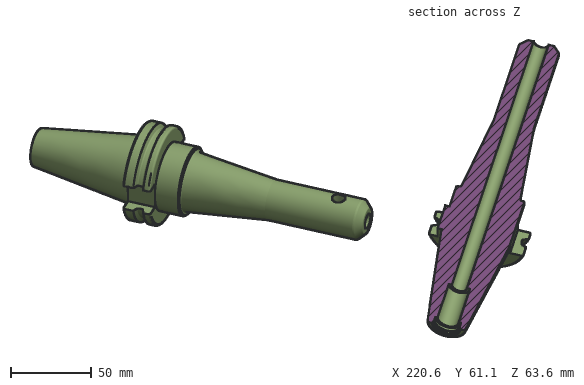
import cadquery as cq
import math

total_length = 220.6

gauge_diameter = 44.4
gauge_x = 68.0
taper_ratio = 7 / 24
taper_end_radius = (gauge_diameter - taper_ratio * gauge_x) / 2
taper_end_round = 2.0

flange_start = 69.3
flange_end = 87.4
flange_radius = 31.8
flange_chamfer = 0.7
flange_round = 1.3
groove_center = 79.5
groove_floor_radius = 28.2
groove_floor_width = 3.3
groove_corner_round = 0.9
groove_wall_angle = 25.0

slot_width = 17.5
slot_floor_y = {-1: 22.0, 1: 25.0}

collar_end = 103.5
collar_chamfer = 0.9
neck_start_radius = 19.2
neck_root_round = 1.0
neck_end = 157.3
nose_radius = 13.0
nose_end_radius = 8.4
nose_chamfer = nose_radius - nose_end_radius
nose_round = 1.8
nose_end_round = 0.9

mouth_chamfer = 0.7
pilot_diameter = 16.8
pilot_depth = 2.5
relief_diameter = 16.3
relief_depth = 4.9
thread_diameter = 13.5
thread_depth = 31.0
through_diameter = 9.5

screw_x = 201.5
screw_diameter = 8.4


edge_margin = 0.2


def ring_at(x, radius):
    """Selector for the circular edge of the given radius, centred on the axis at x."""
    reach = radius + edge_margin
    return cq.selectors.BoxSelector(
        (x - edge_margin, -reach, -reach), (x + edge_margin, reach, reach), boundingbox=True
    )


def turned_body():
    """Revolve the outside outline, without the flange, about X."""
    profile = [
        (0, 0),
        (0, taper_end_radius),
        (gauge_x, gauge_diameter / 2),
        (collar_end - collar_chamfer, gauge_diameter / 2),
        (collar_end, gauge_diameter / 2 - collar_chamfer),
        (collar_end, neck_start_radius),
        (neck_end, nose_radius),
        (total_length - nose_chamfer, nose_radius),
        (total_length, nose_end_radius),
        (total_length, 0),
    ]
    body = cq.Workplane("XY").polyline(profile).close().revolve(360, (0, 0, 0), (1, 0, 0))
    body = body.faces("<X").edges().fillet(taper_end_round)
    body = body.edges(ring_at(collar_end, neck_start_radius)).fillet(neck_root_round)
    body = body.edges(ring_at(total_length - nose_chamfer, nose_radius)).fillet(nose_round)
    return body.faces(">X").edges().fillet(nose_end_round)


def cylinder(start, end, radius):
    """Cylinder about the X axis."""
    return cq.Workplane("YZ", origin=(start, 0, 0)).circle(radius).extrude(end - start)


def flange():
    disc = cylinder(flange_start, flange_end, flange_radius)
    disc = disc.faces("<X").edges().chamfer(flange_chamfer).faces(">X").edges().fillet(flange_round)
    half_floor = groove_floor_width / 2
    groove_depth = flange_radius - groove_floor_radius
    half_mouth = half_floor + groove_depth * math.tan(math.radians(groove_wall_angle))
    groove = (
        cq.Workplane("XY")
        .polyline([
            (groove_center - half_floor, groove_floor_radius),
            (groove_center - half_mouth, flange_radius),
            (groove_center + half_mouth, flange_radius),
            (groove_center + half_floor, groove_floor_radius),
        ])
        .close()
        .revolve(360, (0, 0, 0), (1, 0, 0))
    )
    disc = disc.cut(groove)
    for side in (-1, 1):
        corner = ring_at(groove_center + side * half_floor, groove_floor_radius)
        disc = disc.edges(corner).fillet(groove_corner_round)
    return disc


def drive_slot(side):
    """Block that cuts the drive slot on one Y side."""
    center_x = (flange_start + flange_end) / 2
    center_y = side * (slot_floor_y[side] + flange_radius / 2)
    block = cq.Workplane("XY").box(flange_end - flange_start, flange_radius, slot_width)
    return block.translate((center_x, center_y, 0))


def stepped_bore():
    mouth_radius = pilot_diameter / 2 + mouth_chamfer
    mouth = (
        cq.Workplane("YZ")
        .circle(mouth_radius)
        .workplane(offset=mouth_chamfer)
        .circle(pilot_diameter / 2)
        .loft()
    )
    return (
        mouth
        .union(cylinder(0, pilot_depth, pilot_diameter / 2))
        .union(cylinder(0, relief_depth, relief_diameter / 2))
        .union(cylinder(0, thread_depth, thread_diameter / 2))
        .union(cylinder(0, total_length, through_diameter / 2))
    )


def screw_hole():
    """Radial hole from the nose surface to the axis."""
    return cq.Workplane("XY").center(screw_x, 0).circle(screw_diameter / 2).extrude(nose_radius)


result = turned_body().union(flange())
for slot_side in slot_floor_y:
    result = result.cut(drive_slot(slot_side))
result = result.cut(stepped_bore()).cut(screw_hole())